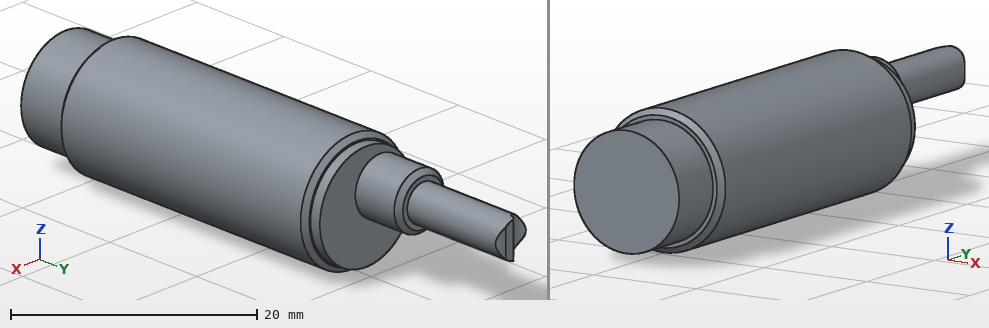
import cadquery as cq

nose_diameter = 10.2
nose_length = 5.0
barrel_diameter = 12.0
barrel_length = 28.45
collar_diameter = 10.7
collar_length = 1.05
edge_chamfer = 0.5

cable_axis_x = -1.6
cable_axis_z = 1.35
sleeve_diameter = 5.7
sleeve_length = 4.95
cable_diameter = 3.7
total_length = 50.1

hollow_x = -1.0
hollow_depth = 1.25
crest_x = 0.75
cut_left_depth = 0.7
cut_right_depth = 0.5
cut_middle_x = -0.3
cut_middle_depth = 0.85
crest_shoulder = 0.45

barrel_rear = nose_length + barrel_length
collar_rear = barrel_rear + collar_length
sleeve_rear = collar_rear + sleeve_length


def cylinder_along_y(diameter, start, end, x=0.0, z=0.0):
    """Cylinder from Y = start to Y = end, with its axis at (x, z)."""
    return (
        cq.Workplane("XZ", origin=(x, start, z))
        .circle(diameter / 2)
        .extrude(start - end)
    )


def make_sensor():
    """Nose, barrel, collar and cable sleeve, with a socket for the cable."""
    nose = cylinder_along_y(nose_diameter, 0, nose_length)
    barrel = cylinder_along_y(barrel_diameter, nose_length, barrel_rear)
    barrel = barrel.faces("<Y or >Y").chamfer(edge_chamfer)
    collar = cylinder_along_y(collar_diameter, barrel_rear, collar_rear)
    sleeve = cylinder_along_y(sleeve_diameter, collar_rear, sleeve_rear, cable_axis_x, cable_axis_z)
    sleeve = sleeve.faces(">Y").chamfer(edge_chamfer)
    socket = cylinder_along_y(cable_diameter, collar_rear, sleeve_rear, cable_axis_x, cable_axis_z)
    return nose.union(barrel).union(collar).union(sleeve).cut(socket)


def make_cable():
    """Cable seated in the sleeve, its free end trimmed by a wavy cut running along Z."""
    radius = cable_diameter / 2
    rod = cylinder_along_y(cable_diameter, collar_rear, total_length, cable_axis_x, cable_axis_z)
    wave = [
        (hollow_x, -hollow_depth),
        (cut_middle_x, -cut_middle_depth),
        (crest_x - crest_shoulder, 0),
        (crest_x + crest_shoulder, 0),
        (radius, -cut_right_depth),
    ]
    envelope = (
        cq.Workplane("XY", origin=(cable_axis_x, total_length, cable_axis_z))
        .moveTo(-radius, -cut_left_depth)
        .spline(wave, includeCurrent=True)
        .lineTo(radius, collar_rear - total_length)
        .lineTo(-radius, collar_rear - total_length)
        .close()
        .extrude(radius, both=True)
    )
    return rod.intersect(envelope)


sensor = make_sensor()
cable = make_cable()

result = cq.Compound.makeCompound([sensor.val(), cable.val()])